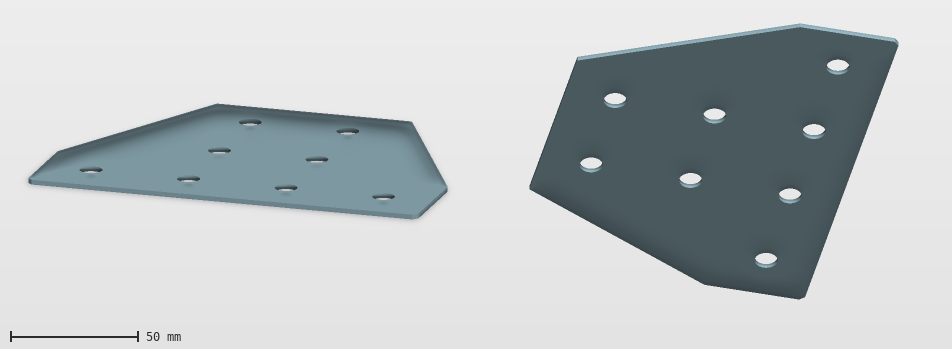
import cadquery as cq

pitch = 40.0
thickness = 2.0
hole_diameter = 9.0
corner_chamfer = 2.0

width = 4 * pitch
depth = 3 * pitch
top_width = 2 * pitch
shoulder_depth = pitch


def make_plate():
    """T-shaped joining plate with tapered sides and chamfered front corners."""
    outline = [
        (-width / 2, 0),
        (width / 2, 0),
        (width / 2, shoulder_depth),
        (top_width / 2, depth),
        (-top_width / 2, depth),
        (-width / 2, shoulder_depth),
    ]
    plate = cq.Workplane("XY").polyline(outline).close().extrude(thickness)
    return plate.edges("|Z").edges("<Y").chamfer(corner_chamfer)


def hole_centers():
    """Four holes along the front row, two in each row behind it."""
    centers = []
    for row, columns in enumerate((4, 2, 2)):
        for column in range(columns):
            x = (column - (columns - 1) / 2) * pitch
            y = (row + 0.5) * pitch
            centers.append((x, y))
    return centers


result = (
    make_plate()
    .faces(">Z")
    .workplane(origin=(0, 0, thickness))
    .pushPoints(hole_centers())
    .hole(hole_diameter)
)